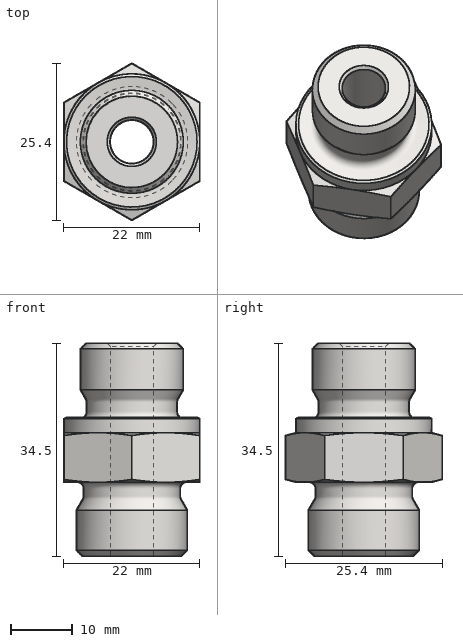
import cadquery as cq
import math

total_height = 34.5
hex_bottom = 12.0
hex_top = 20.0
collar_top = 22.5

across_flats = 22.0
collar_radius = across_flats / 2
corner_radius = collar_radius / math.cos(math.radians(30))
hex_bevel_angle = math.radians(15)
rim_bevel_width = 0.45
rim_bevel_height = 0.2

dish_angle = math.radians(8)
dish_blend_radius = 1.17

lower_radius = 18.0 / 2
lower_neck_radius = 15.7 / 2
lower_chamfer = 1.05
upper_radius = 16.65 / 2
upper_neck_radius = 14.7 / 2
upper_chamfer = 0.93

lower_neck_bottom = 9.73
lower_neck_top = 11.0
upper_neck_bottom = 23.43
upper_neck_top = 24.98
blend_radius = 1.0
flank_angle = math.radians(30)

bore_radius = 7.0 / 2
bore_chamfer = 0.5


def blend_point(neck_radius, neck_z, turn, direction, size=blend_radius):
    """Point on a neck blend after turning away from the axis; direction is +1 up, -1 down."""
    radius = neck_radius + size * (1 - math.cos(turn))
    return radius, neck_z + direction * size * math.sin(turn)


def flank_end(blend_end, thread_radius, direction):
    """Point where the conical flank meets the thread's outer cylinder."""
    radius, z = blend_end
    return thread_radius, z + direction * (thread_radius - radius) / math.tan(flank_angle)


def lower_end():
    shoulder_turn = math.pi / 2
    shoulder = blend_point(lower_neck_radius, lower_neck_top, shoulder_turn, 1)
    shoulder_mid = blend_point(lower_neck_radius, lower_neck_top, shoulder_turn / 2, 1)
    flank_start = blend_point(lower_neck_radius, lower_neck_bottom, flank_angle, -1)
    flank_mid = blend_point(lower_neck_radius, lower_neck_bottom, flank_angle / 2, -1)
    return (
        cq.Workplane("XZ")
        .lineTo(lower_radius - lower_chamfer, 0)
        .lineTo(lower_radius, lower_chamfer)
        .lineTo(*flank_end(flank_start, lower_radius, -1))
        .lineTo(*flank_start)
        .threePointArc(flank_mid, (lower_neck_radius, lower_neck_bottom))
        .lineTo(lower_neck_radius, lower_neck_top)
        .threePointArc(shoulder_mid, shoulder)
        .lineTo(shoulder[0], hex_top)
        .lineTo(0, hex_top)
        .close()
        .revolve(360, (0, 0), (0, 1))
    )


def upper_end():
    """Collar, dished sealing face, neck and upper thread as one turned body."""
    rim_radius = collar_radius - rim_bevel_width
    dish_turn = math.pi / 2 + dish_angle
    dish_inner = blend_point(upper_neck_radius, upper_neck_bottom, dish_turn, -1, dish_blend_radius)
    dish_mid = blend_point(upper_neck_radius, upper_neck_bottom, dish_turn / 2, -1, dish_blend_radius)
    flank_start = blend_point(upper_neck_radius, upper_neck_top, flank_angle, 1)
    flank_mid = blend_point(upper_neck_radius, upper_neck_top, flank_angle / 2, 1)
    return (
        cq.Workplane("XZ")
        .moveTo(0, hex_top)
        .lineTo(collar_radius, hex_top)
        .lineTo(collar_radius, collar_top - rim_bevel_height)
        .lineTo(rim_radius, collar_top)
        .lineTo(*dish_inner)
        .threePointArc(dish_mid, (upper_neck_radius, upper_neck_bottom))
        .lineTo(upper_neck_radius, upper_neck_top)
        .threePointArc(flank_mid, flank_start)
        .lineTo(*flank_end(flank_start, upper_radius, 1))
        .lineTo(upper_radius, total_height - upper_chamfer)
        .lineTo(upper_radius - upper_chamfer, total_height)
        .lineTo(0, total_height)
        .close()
        .revolve(360, (0, 0), (0, 1))
    )


def hexagon():
    """Hexagon with corners on the Y axis, bevelled by a cone at both ends."""
    bevel_drop = (corner_radius - collar_radius) * math.tan(hex_bevel_angle)
    prism = (
        cq.Workplane("XY", origin=(0, 0, hex_bottom))
        .polygon(6, 2 * corner_radius)
        .extrude(hex_top - hex_bottom)
        .rotate((0, 0, 0), (0, 0, 1), 30)
    )
    envelope = (
        cq.Workplane("XZ")
        .moveTo(0, hex_bottom)
        .lineTo(collar_radius, hex_bottom)
        .lineTo(corner_radius, hex_bottom + bevel_drop)
        .lineTo(corner_radius, hex_top - bevel_drop)
        .lineTo(collar_radius, hex_top)
        .lineTo(0, hex_top)
        .close()
        .revolve(360, (0, 0), (0, 1))
    )
    return prism.intersect(envelope)


def bore():
    """Through bore, countersunk at the upper end."""
    return (
        cq.Workplane("XZ")
        .lineTo(bore_radius, 0)
        .lineTo(bore_radius, total_height - bore_chamfer)
        .lineTo(bore_radius + bore_chamfer, total_height)
        .lineTo(0, total_height)
        .close()
        .revolve(360, (0, 0), (0, 1))
    )


result = hexagon().union(lower_end()).union(upper_end()).cut(bore())